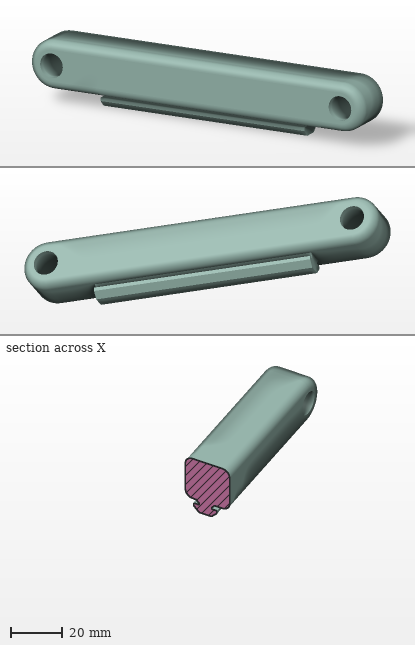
import cadquery as cq

BAR_LENGTH = 147.5
BAR_WIDTH = 20.0
BAR_HEIGHT = 20.0
BAR_FILLET = 3.5
HOLE_DIAMETER = 10.0
HOLE_SPACING = BAR_LENGTH - BAR_HEIGHT

RAIL_LENGTH = 90.0
RAIL_DROP = 5.9
RAIL_OFFSET_Y = 1.0
NECK_WIDTH = 5.8
NECK_HEIGHT = 1.9
NECK_FLARE = 1.3
FLANGE_WIDTH = 10.6
FLANGE_BEVEL = 2.55
RAIL_EMBED = 1.0


def make_bar():
    """Round-ended bar with filleted rims on both sides."""
    bar = (
        cq.Workplane("XZ")
        .slot2D(BAR_LENGTH, BAR_HEIGHT)
        .extrude(BAR_WIDTH / 2, both=True)
    )
    return bar.faces("<Y or >Y").edges().fillet(BAR_FILLET)


def make_holes():
    """Through holes along Y at both ends of the bar."""
    return (
        cq.Workplane("XZ")
        .pushPoints([(-HOLE_SPACING / 2, 0), (HOLE_SPACING / 2, 0)])
        .circle(HOLE_DIAMETER / 2)
        .extrude(BAR_WIDTH, both=True)
    )


def make_rail():
    """T-shaped rail with a flared neck and a bevelled flange."""
    bar_bottom = -BAR_HEIGHT / 2
    rail_bottom = bar_bottom - RAIL_DROP
    flange_top = bar_bottom - NECK_HEIGHT
    half_neck = NECK_WIDTH / 2
    half_flare = half_neck + NECK_FLARE
    half_flange = FLANGE_WIDTH / 2
    half_bottom = half_flange - FLANGE_BEVEL

    half_profile = [
        (half_flare, bar_bottom + RAIL_EMBED),
        (half_flare, bar_bottom),
        (half_neck, bar_bottom - NECK_FLARE),
        (half_neck, flange_top),
        (half_flange, flange_top),
        (half_flange, rail_bottom + FLANGE_BEVEL),
        (half_bottom, rail_bottom),
    ]
    mirrored_profile = [(-y, z) for y, z in reversed(half_profile)]
    return (
        cq.Workplane("YZ")
        .polyline(half_profile + mirrored_profile)
        .close()
        .extrude(RAIL_LENGTH / 2, both=True)
        .translate((0, RAIL_OFFSET_Y, 0))
    )


result = make_bar().cut(make_holes()).union(make_rail())